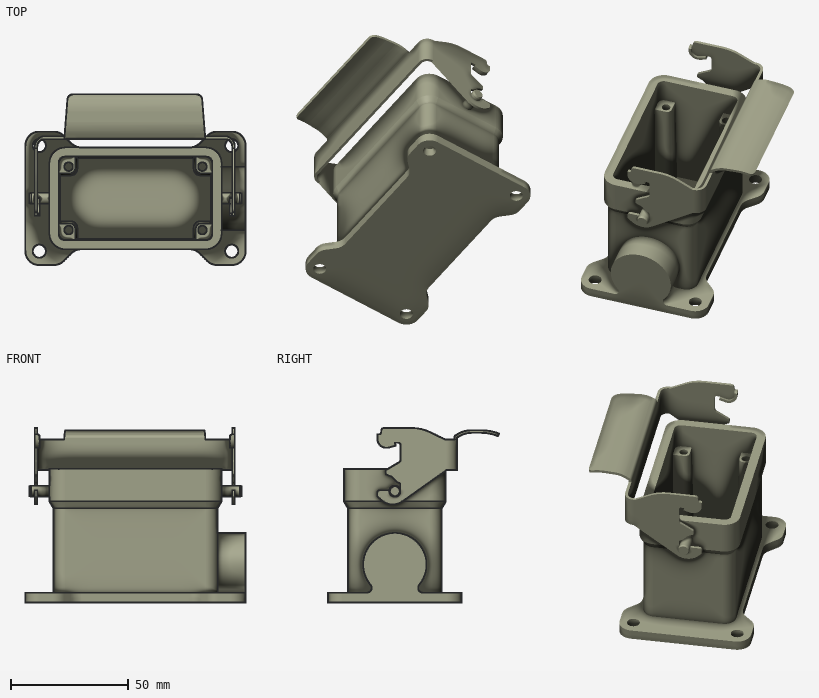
import cadquery as cq
import math

COINCIDENT = 1e-6

PLATE_LENGTH = 94.0
PLATE_WIDTH = 57.0
PLATE_THICKNESS = 4.25
PLATE_RADIUS = 6.0
WAIST_HALF_WIDTH = 21.75
EAR_SHOULDER_X = 32.4
MOUNT_SPACING_X = 82.0
MOUNT_SPACING_Y = 45.0
MOUNT_HOLE_DIAMETER = 5.5

BODY_LENGTH = 70.0
BODY_WIDTH = 40.0
BODY_RADIUS = 5.0
BODY_HEIGHT = 57.0
COLLAR_OVERHANG = 1.7
COLLAR_BOTTOM_Z = 43.1
COLLAR_TAPER_HEIGHT = 2.8

CAVITY_LENGTH = 65.6
CAVITY_WIDTH = 35.7
CAVITY_RADIUS = 2.8
CAVITY_DRAFT = 0.8
FLOOR_Z = PLATE_THICKNESS
POST_SPACING_X = 57.0
POST_SPACING_Y = 27.0
POST_TOP_Z = 46.2
POST_LAND = 2.75
POST_RADIUS = 2.0
POST_DRAFT = 1.4
POST_WALL_OVERLAP = 0.8
POST_HOLE_DIAMETER = 3.7
POST_HOLE_DEPTH = 12.0

ENTRY_RADIUS = 13.5
ENTRY_AXIS_Z = 16.2
ENTRY_FILLET = 2.0

PIN_RADIUS = 2.4
PIN_AXIS_Z = 47.5
PIN_END_X = 45.2
PIN_CHAMFER_LENGTH = 0.8
PIN_CHAMFER_DEPTH = 0.3
PIN_EMBEDMENT = 1.0

SHEET = 1.2
LEVER_OUTER_X = 42.7
LEVER_SHIFT_X = -0.3
LEVER_BACK_Y = 26.5
LEVER_BEND_RADIUS = 4.4
BAND_BOTTOM_Z = 56.5
BAND_TOP_Z = 69.6
LEVER_TOP_Z = 74.5
BROW_START_Y = 21.4
BROW_PEAK_Y = 11.3
BROW_RADIUS = 18.0
ARM_ROOT_Y = LEVER_BACK_Y - LEVER_BEND_RADIUS
ARM_FRONT_Y = -7.5

NOSE_TOP_Z = 71.8
NOSE_RADIUS = 4.0
NOSE_TIP_Y = 0.4
NOSE_TIP_Z = 66.9
NOSE_SLOPE = 0.3
NOSE_STEP_Y = -5.9
NOSE_TOP_RADIUS = 1.4
NOSE_STEP_RADIUS = 0.8
NOSE_TIP_RADIUS = 0.3
NOTCH_TOP_Z = 68.1
NOTCH_RADIUS = 0.9
LIP_PROJECTION = 0.95
LIP_CHAMFER = 0.7

TOOTH_ROOT_Z = 60.2
TOOTH_ROOT_RADIUS = 1.3
TOOTH_FRONT_Y = -3.95
TOOTH_TOP_Z = 56.5
TOOTH_TOP_RADIUS = 0.8
TOOTH_BOTTOM_Z = 54.75
TOOTH_BOTTOM_RADIUS = 0.6
TOOTH_BELLY = (-1.3, 53.65, 2.0)
TOOTH_THROAT = (0.9, 51.4, 1.0)
SEAT_TOP_Z = 50.8
SEAT_TOP_RADIUS = 1.0

FINGER_RISE = 0.4
FINGER_TIP_RADIUS = 1.1
FINGER_TIP_BOTTOM_Z = 45.3
FINGER_CORNER_RADIUS = 0.6
HEEL_Y = -1.5
HEEL_Z = 39.8
HEEL_RADIUS = 7.3

HANDLE_TOP_Z = 73.5
HANDLE_FLAT_BACK_Y = 37.1
HANDLE_FLAT_FRONT_Y = 32.5
HANDLE_TIP_Y = 44.4
HANDLE_TIP_RADIUS = 18.9
HANDLE_BEND_RADIUS = 10.5
HANDLE_BEND_END_Y = 27.6
HANDLE_ROOT_RADIUS = 1.67
HANDLE_ROOT_HALF_WIDTH = 30.1
HANDLE_TIP_HALF_WIDTH = 28.6
HANDLE_CORNER_RADIUS = 2.5


def rounded_outline(plane, corners):
    """Closed outline through (u, v, radius) corners, each rounded with its radius."""
    path = cq.Workplane(plane)
    last = None
    for index, (u, v, radius) in enumerate(corners):
        corner = cq.Vector(u, v)
        before = cq.Vector(*corners[index - 1][:2])
        after = cq.Vector(*corners[(index + 1) % len(corners)][:2])
        back = (before - corner).normalized()
        ahead = (after - corner).normalized()
        half_angle = back.getAngle(ahead) / 2
        start = corner + back * (radius / math.tan(half_angle))
        end = corner + ahead * (radius / math.tan(half_angle))
        if last is None:
            path = path.moveTo(start.x, start.y)
        elif (start - last).Length > COINCIDENT:
            path = path.lineTo(start.x, start.y)
        if radius > 0:
            middle_distance = radius / math.sin(half_angle) - radius
            middle = corner + (back + ahead).normalized() * middle_distance
            path = path.threePointArc((middle.x, middle.y), (end.x, end.y))
        last = end
    return path.close()


def on_both_sides(shape):
    return shape.union(shape.mirror("YZ"))


def rounded_block(length, width, radius, bottom, top):
    block = cq.Workplane("XY").workplane(offset=bottom).rect(length, width).extrude(top - bottom)
    return block.edges("|Z").fillet(radius)


def base_plate():
    half_length = PLATE_LENGTH / 2
    half_width = PLATE_WIDTH / 2
    waist_x = EAR_SHOULDER_X - (half_width - WAIST_HALF_WIDTH)
    side = [
        (half_length, half_width, PLATE_RADIUS),
        (EAR_SHOULDER_X, half_width, PLATE_RADIUS),
        (waist_x, WAIST_HALF_WIDTH, PLATE_RADIUS),
    ]
    back = side + [(-x, y, radius) for x, y, radius in reversed(side)]
    front = [(-x, -y, radius) for x, y, radius in back]
    plate = rounded_outline("XY", back + front).extrude(PLATE_THICKNESS)
    holes = (
        cq.Workplane("XY")
        .rect(MOUNT_SPACING_X, MOUNT_SPACING_Y, forConstruction=True)
        .vertices()
        .circle(MOUNT_HOLE_DIAMETER / 2)
        .extrude(PLATE_THICKNESS)
    )
    return plate.cut(holes)


def housing():
    length = BODY_LENGTH + 2 * COLLAR_OVERHANG
    width = BODY_WIDTH + 2 * COLLAR_OVERHANG
    radius = BODY_RADIUS + COLLAR_OVERHANG
    collar = rounded_block(length, width, radius, COLLAR_BOTTOM_Z, BODY_HEIGHT)
    taper_angle = math.degrees(math.atan2(COLLAR_OVERHANG, COLLAR_TAPER_HEIGHT))
    taper = collar.faces("<Z").wires().toPending().extrude(-COLLAR_TAPER_HEIGHT, taper=taper_angle)
    body = rounded_block(BODY_LENGTH, BODY_WIDTH, BODY_RADIUS, 0, COLLAR_BOTTOM_Z)
    return body.union(taper).union(collar)


def cable_entry():
    barrel = (
        cq.Workplane("YZ")
        .center(0, ENTRY_AXIS_Z)
        .circle(ENTRY_RADIUS)
        .extrude(PLATE_LENGTH / 2)
    )
    blend_z = PLATE_THICKNESS + ENTRY_FILLET
    drop = ENTRY_AXIS_Z - blend_z
    reach = ENTRY_RADIUS + ENTRY_FILLET
    blend_y = math.sqrt(reach**2 - drop**2)
    tangent_ratio = ENTRY_RADIUS / reach
    tangent_y = blend_y * tangent_ratio
    tangent_z = ENTRY_AXIS_Z - drop * tangent_ratio
    web = (
        cq.Workplane("YZ")
        .polyline([
            (-blend_y, PLATE_THICKNESS),
            (blend_y, PLATE_THICKNESS),
            (tangent_y, tangent_z),
            (-tangent_y, tangent_z),
        ])
        .close()
        .extrude(PLATE_LENGTH / 2)
    )
    blends = (
        cq.Workplane("YZ")
        .pushPoints([(-blend_y, blend_z), (blend_y, blend_z)])
        .circle(ENTRY_FILLET)
        .extrude(PLATE_LENGTH / 2)
    )
    return barrel.union(web.cut(blends))


def cavity():
    half_length = CAVITY_LENGTH / 2
    half_width = CAVITY_WIDTH / 2
    corners = [
        (half_length, half_width, CAVITY_RADIUS),
        (-half_length, half_width, CAVITY_RADIUS),
        (-half_length, -half_width, CAVITY_RADIUS),
        (half_length, -half_width, CAVITY_RADIUS),
    ]
    rim = cq.Plane(origin=(0, 0, BODY_HEIGHT))
    return rounded_outline(rim, corners).extrude(FLOOR_Z - BODY_HEIGHT, taper=CAVITY_DRAFT)


def screw_posts():
    """Drilled corner posts, oversize into the wall; the cavity outline trims them."""
    height = POST_TOP_Z - FLOOR_Z
    spread = height * math.tan(math.radians(POST_DRAFT))
    inner_x = POST_SPACING_X / 2 - POST_LAND - spread
    inner_y = POST_SPACING_Y / 2 - POST_LAND - spread
    outer_x = CAVITY_LENGTH / 2 + POST_WALL_OVERLAP + spread / 2
    outer_y = CAVITY_WIDTH / 2 + POST_WALL_OVERLAP + spread / 2
    radius = POST_RADIUS + spread
    floor = cq.Plane(origin=(0, 0, FLOOR_Z))
    corners = [
        (inner_x, inner_y, radius),
        (outer_x, inner_y, 0),
        (outer_x, outer_y, 0),
        (inner_x, outer_y, 0),
    ]
    post = rounded_outline(floor, corners).extrude(height, taper=POST_DRAFT)
    screw_hole = (
        cq.Workplane("XY", origin=(POST_SPACING_X / 2, POST_SPACING_Y / 2, POST_TOP_Z))
        .circle(POST_HOLE_DIAMETER / 2)
        .extrude(-POST_HOLE_DEPTH)
    )
    pair = on_both_sides(post.cut(screw_hole))
    return pair.union(pair.mirror("XZ"))


def pivot_pins():
    root_x = BODY_LENGTH / 2 + COLLAR_OVERHANG - PIN_EMBEDMENT
    half_section = [
        (root_x, 0),
        (root_x, PIN_RADIUS),
        (PIN_END_X - PIN_CHAMFER_LENGTH, PIN_RADIUS),
        (PIN_END_X, PIN_RADIUS - PIN_CHAMFER_DEPTH),
        (PIN_END_X, 0),
    ]
    pin = (
        cq.Workplane("XZ", origin=(0, 0, PIN_AXIS_Z))
        .polyline(half_section)
        .close()
        .revolve(360, (0, 0), (1, 0))
    )
    return on_both_sides(pin)


def nose_line_z(y):
    """Height of the sloping underside of the hook nose."""
    return NOSE_TIP_Z + NOSE_SLOPE * (y - NOSE_TIP_Y)


def lever_arm():
    """Side plate of the lever on the +X side, with hook nose, tooth and pin seat."""
    seat_bottom_z = PIN_AXIS_Z - PIN_RADIUS
    finger_top_z = PIN_AXIS_Z + FINGER_RISE
    corners = [
        (ARM_ROOT_Y, BAND_BOTTOM_Z, 0),
        (ARM_ROOT_Y, BAND_TOP_Z, 0),
        (BROW_START_Y, BAND_TOP_Z, 0),
        (BROW_PEAK_Y, LEVER_TOP_Z, BROW_RADIUS),
        (NOSE_STEP_Y, LEVER_TOP_Z, NOSE_TOP_RADIUS),
        (NOSE_STEP_Y, NOSE_TOP_Z, NOSE_STEP_RADIUS),
        (ARM_FRONT_Y, NOSE_TOP_Z, 0),
        (ARM_FRONT_Y, nose_line_z(ARM_FRONT_Y), NOSE_RADIUS),
        (NOSE_TIP_Y, NOSE_TIP_Z, NOSE_TIP_RADIUS),
        (0, NOTCH_TOP_Z, 0),
        (PIN_RADIUS, NOTCH_TOP_Z, NOTCH_RADIUS),
        (PIN_RADIUS, TOOTH_ROOT_Z, TOOTH_ROOT_RADIUS),
        (TOOTH_FRONT_Y, TOOTH_TOP_Z, TOOTH_TOP_RADIUS),
        (TOOTH_FRONT_Y, TOOTH_BOTTOM_Z, TOOTH_BOTTOM_RADIUS),
        TOOTH_BELLY,
        TOOTH_THROAT,
        (PIN_RADIUS, SEAT_TOP_Z, SEAT_TOP_RADIUS),
        (PIN_RADIUS, seat_bottom_z, PIN_RADIUS),
        (-PIN_RADIUS, seat_bottom_z, PIN_RADIUS),
        (-PIN_RADIUS, finger_top_z, FINGER_RISE),
        (ARM_FRONT_Y, finger_top_z, FINGER_TIP_RADIUS),
        (ARM_FRONT_Y, FINGER_TIP_BOTTOM_Z, FINGER_CORNER_RADIUS),
        (HEEL_Y, HEEL_Z, HEEL_RADIUS),
    ]
    inner = cq.Plane.YZ((LEVER_OUTER_X - SHEET, 0, 0))
    return rounded_outline(inner, corners).extrude(SHEET)


def hook_lip():
    """Sheet edge of the hook nose, bent inwards from the arm."""
    inner_y = ARM_FRONT_Y + SHEET
    rise = SHEET * math.hypot(1, NOSE_SLOPE)
    corners = [
        (NOSE_TIP_Y, NOSE_TIP_Z, 0),
        (ARM_FRONT_Y, nose_line_z(ARM_FRONT_Y), NOSE_RADIUS),
        (ARM_FRONT_Y, NOSE_TOP_Z, 0),
        (inner_y, NOSE_TOP_Z, 0),
        (inner_y, nose_line_z(inner_y) + rise, NOSE_RADIUS - SHEET),
        (0, nose_line_z(0) + rise, 0),
    ]
    plane = cq.Plane.YZ((LEVER_OUTER_X - SHEET - LIP_PROJECTION, 0, 0))
    lip = rounded_outline(plane, corners).extrude(LIP_PROJECTION + SHEET)
    return lip.faces(">Z").edges("<X").chamfer(LIP_CHAMFER)


def lever_band():
    """Back of the lever with its two bends, open towards the front."""
    inner_x = LEVER_OUTER_X - SHEET
    inner_y = LEVER_BACK_Y - SHEET
    inner_radius = LEVER_BEND_RADIUS - SHEET
    corners = [
        (LEVER_OUTER_X, ARM_ROOT_Y - SHEET, 0),
        (LEVER_OUTER_X, LEVER_BACK_Y, LEVER_BEND_RADIUS),
        (-LEVER_OUTER_X, LEVER_BACK_Y, LEVER_BEND_RADIUS),
        (-LEVER_OUTER_X, ARM_ROOT_Y - SHEET, 0),
        (-inner_x, ARM_ROOT_Y - SHEET, 0),
        (-inner_x, inner_y, inner_radius),
        (inner_x, inner_y, inner_radius),
        (inner_x, ARM_ROOT_Y - SHEET, 0),
    ]
    bottom = cq.Plane(origin=(0, 0, BAND_BOTTOM_Z))
    return rounded_outline(bottom, corners).extrude(BAND_TOP_Z - BAND_BOTTOM_Z)


def polar(centre, radius, angle):
    """Point at an angle from the upward direction, positive towards +Y."""
    return (centre[0] + radius * math.sin(angle), centre[1] + radius * math.cos(angle))


def thumb_handle():
    """Curved sheet rising from the inner face of the band and arching over the back."""
    tip_centre = (HANDLE_FLAT_BACK_Y, HANDLE_TOP_Z - HANDLE_TIP_RADIUS)
    bend_centre = (HANDLE_FLAT_FRONT_Y, HANDLE_TOP_Z - HANDLE_BEND_RADIUS)
    tip_angle = math.asin((HANDLE_TIP_Y - HANDLE_FLAT_BACK_Y) / HANDLE_TIP_RADIUS)
    bend_angle = -math.asin((HANDLE_FLAT_FRONT_Y - HANDLE_BEND_END_Y) / HANDLE_BEND_RADIUS)
    bend_end = polar(bend_centre, HANDLE_BEND_RADIUS, bend_angle)

    face_y = LEVER_BACK_Y - SHEET
    root_y = face_y + HANDLE_ROOT_RADIUS
    root_start_y = root_y + HANDLE_ROOT_RADIUS * math.sin(bend_angle)
    root_start_z = bend_end[1] + (bend_end[0] - root_start_y) * math.tan(bend_angle)
    root_centre = (root_y, root_start_z - HANDLE_ROOT_RADIUS * math.cos(bend_angle))
    vertical = -math.pi / 2
    root_middle = (bend_angle + vertical) / 2

    def edge_points(inset):
        tip_radius = HANDLE_TIP_RADIUS - inset
        bend_radius = HANDLE_BEND_RADIUS - inset
        root_radius = HANDLE_ROOT_RADIUS - inset
        return {
            "tip": polar(tip_centre, tip_radius, tip_angle),
            "tip_middle": polar(tip_centre, tip_radius, tip_angle / 2),
            "flat_back": polar(tip_centre, tip_radius, 0),
            "flat_front": polar(bend_centre, bend_radius, 0),
            "bend_middle": polar(bend_centre, bend_radius, bend_angle / 2),
            "bend_end": polar(bend_centre, bend_radius, bend_angle),
            "root_start": polar(root_centre, root_radius, bend_angle),
            "root_middle": polar(root_centre, root_radius, root_middle),
            "root_end": polar(root_centre, root_radius, vertical),
        }

    top = edge_points(0)
    under = edge_points(SHEET)
    section = (
        cq.Workplane("YZ")
        .moveTo(*top["tip"])
        .threePointArc(top["tip_middle"], top["flat_back"])
        .lineTo(*top["flat_front"])
        .threePointArc(top["bend_middle"], top["bend_end"])
        .lineTo(*top["root_start"])
        .threePointArc(top["root_middle"], top["root_end"])
        .lineTo(face_y, BAND_TOP_Z)
        .lineTo(LEVER_BACK_Y, BAND_TOP_Z)
        .lineTo(*under["root_end"])
        .threePointArc(under["root_middle"], under["root_start"])
        .lineTo(*under["bend_end"])
        .threePointArc(under["bend_middle"], under["flat_front"])
        .lineTo(*under["flat_back"])
        .threePointArc(under["tip_middle"], under["tip"])
        .close()
        .extrude(HANDLE_ROOT_HALF_WIDTH, both=True)
    )
    plan = [
        (-HANDLE_ROOT_HALF_WIDTH, face_y, 0),
        (HANDLE_ROOT_HALF_WIDTH, face_y, 0),
        (HANDLE_TIP_HALF_WIDTH, HANDLE_TIP_Y, HANDLE_CORNER_RADIUS),
        (-HANDLE_TIP_HALF_WIDTH, HANDLE_TIP_Y, HANDLE_CORNER_RADIUS),
    ]
    return section.intersect(rounded_outline("XY", plan).extrude(LEVER_TOP_Z))


def locking_lever():
    arm = lever_arm().union(hook_lip())
    lever = lever_band().union(on_both_sides(arm)).union(thumb_handle())
    return lever.translate((LEVER_SHIFT_X, 0, 0))


enclosure = housing().union(base_plate()).union(cable_entry())
enclosure = enclosure.cut(cavity().cut(screw_posts()))
result = enclosure.union(pivot_pins()).union(locking_lever())